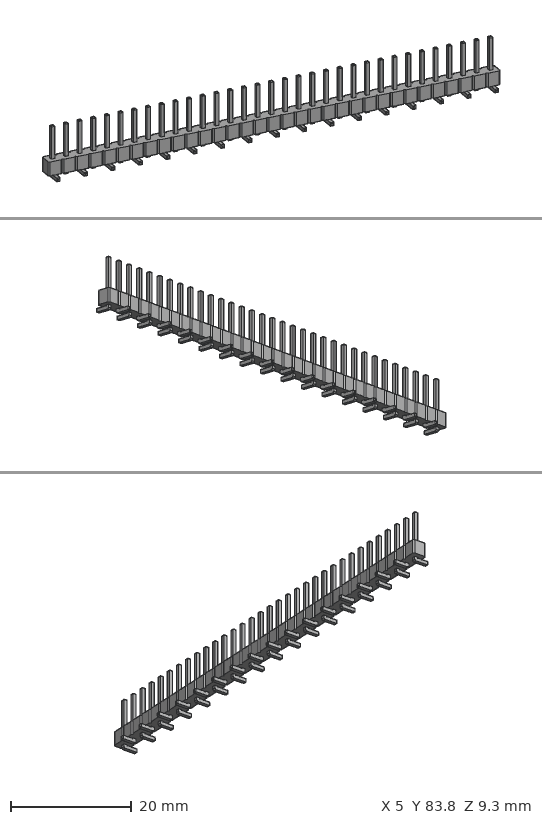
import cadquery as cq

pin_count = 33
pitch = 2.54
row_length = pin_count * pitch

body_width = pitch
body_height = pitch
corner_chamfer = pitch / 10
body_standoff = 0.76

pin_size = 0.64
tip_chamfer = pin_size / 4
overall_height = 9.3

tail_reach = 2.5
bend_chamfer = 0.24


def pin_position(index):
    """Y coordinate of a pin, with the row centred on the origin."""
    return (index - (pin_count - 1) / 2) * pitch


def body_edge(side):
    """Points of one long edge of the body, from -Y to +Y, on the +X (+1) or -X (-1) side."""
    outer_x = side * body_width / 2
    inner_x = outer_x - side * corner_chamfer
    points = []
    for index in range(pin_count):
        start_y = pin_position(index) - pitch / 2
        points.append((inner_x, start_y))
        points.append((outer_x, start_y + corner_chamfer))
        points.append((outer_x, start_y + pitch - corner_chamfer))
    points.append((inner_x, row_length / 2))
    return points


def make_body():
    """Plastic strip raised above the board."""
    outline = body_edge(1) + body_edge(-1)[::-1]
    base = cq.Workplane("XY").workplane(offset=body_standoff)
    return base.polyline(outline).close().extrude(body_height)


def make_pin():
    """Bent pin centred on the origin, with its tail towards +X."""
    half_size = pin_size / 2
    profile = [
        (-half_size, overall_height),
        (-half_size, bend_chamfer),
        (bend_chamfer - half_size, 0),
        (tail_reach, 0),
        (tail_reach, pin_size),
        (half_size, pin_size),
        (half_size, overall_height),
    ]
    pin = cq.Workplane("XZ").polyline(profile).close().extrude(half_size, both=True)
    return pin.faces(">Z").chamfer(tip_chamfer).faces(">X").chamfer(tip_chamfer)


def make_header():
    """Body with a pin through each pitch, tails alternating in direction."""
    right_pin = make_pin()
    left_pin = right_pin.rotate((0, 0, 0), (0, 0, 1), 180)
    pins = []
    for index in range(pin_count):
        pin = right_pin if index % 2 == 0 else left_pin
        pins.append(pin.translate((0, pin_position(index), 0)).val())
    return cq.Workplane(make_body().val().fuse(*pins))


result = make_header()